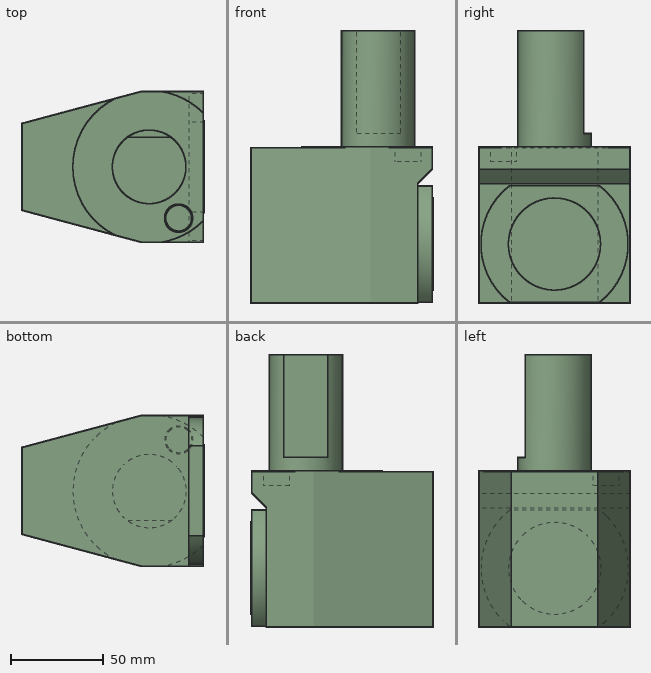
import cadquery as cq
import math

total_height = 148.0
total_length = 99.0
body_width = 82.0
body_height = 85.0
overlap = 1.5

pad_thickness = 0.5
back_x = -69.1
front_x = back_x + total_length - pad_thickness
taper_end_x = -4.1
taper_angle = 15.0
back_half_width = body_width / 2 - (taper_end_x - back_x) * math.tan(math.radians(taper_angle))

relief_depth = 7.8
lip_height = 12.1

disc_diameter = 82.9
disc_thickness = 0.5
shank_diameter = 40.0
flat_distance = 16.0
flat_start = 7.3

boss_diameter = 79.9
boss_height = 63.2
pad_diameter = 50.0
boss_center_z = 32.1

hole_x = 16.0
hole_y = -27.8
hole_diameter = 14.0
hole_depth = 7.8
hole_chamfer = 0.6


def outline_prism(height):
    """Prism with the tapered body outline, standing on Z = 0."""
    half_width = body_width / 2
    points = [
        (back_x, -back_half_width),
        (taper_end_x, -half_width),
        (front_x, -half_width),
        (front_x, half_width),
        (taper_end_x, half_width),
        (back_x, back_half_width),
    ]
    return cq.Workplane("XY").polyline(points).close().extrude(height)


def front_relief():
    """Cutter below the lip, with a 45 degree slope at its top."""
    relief_x = front_x - relief_depth
    lip_z = body_height - lip_height
    points = [
        (relief_x, 0),
        (front_x, 0),
        (front_x, lip_z),
        (relief_x, lip_z - relief_depth),
    ]
    return cq.Workplane("XZ").polyline(points).close().extrude(body_width / 2, both=True)


def seating_disc():
    """Thin disc on top of the body, trimmed to the body outline."""
    disc = (
        cq.Workplane("XY")
        .workplane(offset=body_height - disc_thickness - overlap)
        .circle(disc_diameter / 2)
        .extrude(disc_thickness + overlap)
    )
    return disc.intersect(outline_prism(body_height))


def shank():
    """Round shank with a flat on its +Y side, above a full round foot."""
    radius = shank_diameter / 2
    base_z = body_height - overlap
    flat_z = body_height + flat_start
    post = cq.Workplane("XY").workplane(offset=base_z).circle(radius).extrude(total_height - base_z)
    flat_cutter = cq.Workplane("XY").box(
        shank_diameter, radius - flat_distance, total_height - flat_z, centered=(True, False, False)
    )
    return post.cut(flat_cutter.translate((0, flat_distance, flat_z)))


def front_disc(diameter, end_x):
    """Disc along X on the front face, reaching back into the body."""
    start_x = front_x - relief_depth - overlap
    return (
        cq.Workplane("YZ")
        .workplane(offset=start_x)
        .center(0, boss_center_z)
        .circle(diameter / 2)
        .extrude(end_x - start_x)
    )


def front_boss():
    """Front disc trimmed by flats above and below its center."""
    band = cq.Workplane("XY").box(total_length, boss_diameter, boss_height)
    band = band.translate((front_x, 0, boss_center_z))
    return front_disc(boss_diameter, front_x).intersect(band)


def blind_hole():
    """Cutter for the flat-bottomed hole with a chamfered mouth."""
    radius = hole_diameter / 2
    profile = [
        (0, -hole_depth),
        (radius, -hole_depth),
        (radius, -hole_chamfer),
        (radius + hole_chamfer, 0),
        (0, 0),
    ]
    cutter = cq.Workplane("XZ").polyline(profile).close().revolve(360, (0, 0), (0, 1))
    return cutter.translate((hole_x, hole_y, body_height))


body = outline_prism(body_height - disc_thickness).cut(front_relief())
body = body.union(seating_disc()).union(shank())
body = body.union(front_boss())
body = body.union(front_disc(pad_diameter, front_x + pad_thickness))
result = body.cut(blind_hole())